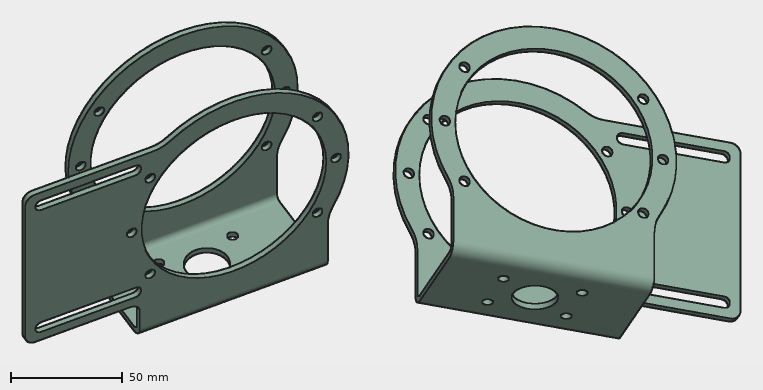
import cadquery as cq
import math

sheet = 3.0
width = 52.0
overall_length = 164.6
base_length = 95.8
bend_inner_radius = 3.0
bend_outer_radius = bend_inner_radius + sheet

ring_radius = 58.5
bore_diameter = 94.0
ring_height = 67.8
neck_radius = 19.8
screw_diameter = 5.0
screw_circle_radius = 52.0
screw_angles = (-35, 0, 35, 145, 180, 215)

plate_reach = overall_length - ring_radius
plate_height = 92.0
plate_corner_radius = 5.0
plate_ring_blend_radius = 15.0
slot_length = 53.8
slot_width = 6.0
slot_end_margin = 5.1
slot_spacing = 76.0

base_bore_diameter = 20.9
base_screw_spacing_x = 21.7
base_screw_spacing_y = 37.5

half_base = base_length / 2
overall_height = ring_height + ring_radius
plate_top = ring_height + plate_height / 2
plate_bottom = ring_height - plate_height / 2


def blend_points(line_offset, blend_radius):
    """Locate an arc tangent to the ring and to a line at line_offset from its centre.

    Each point is (distance across the line, distance along the line) from the ring centre:
    the tangent point on the ring, the arc midpoint and the tangent point on the line.
    """
    across = line_offset + blend_radius
    along = math.sqrt((ring_radius + blend_radius) ** 2 - across**2)
    ring_share = ring_radius / (ring_radius + blend_radius)
    mid_angle = math.pi + math.atan2(along, across) / 2
    on_ring = (across * ring_share, along * ring_share)
    middle = (across + blend_radius * math.cos(mid_angle), along + blend_radius * math.sin(mid_angle))
    on_line = (line_offset, along)
    return on_ring, middle, on_line


def wall_outline():
    """Ring standing on a straight-sided neck, as a YZ profile."""
    on_ring, middle, on_line = [(y, ring_height - drop) for y, drop in blend_points(half_base, neck_radius)]
    return (
        cq.Workplane("YZ")
        .moveTo(-half_base, 0)
        .lineTo(half_base, 0)
        .lineTo(*on_line)
        .threePointArc(middle, on_ring)
        .threePointArc((0, overall_height), (-on_ring[0], on_ring[1]))
        .threePointArc((-middle[0], middle[1]), (-on_line[0], on_line[1]))
        .close()
    )


def plate_outline():
    """Mounting plate with rounded free corners, blended into the ring and the neck."""
    on_ring, middle, on_line = [
        (-along, ring_height + rise) for rise, along in blend_points(plate_height / 2, plate_ring_blend_radius)
    ]
    r = plate_corner_radius
    arc_inset = r * (1 - math.sqrt(0.5))
    return (
        cq.Workplane("YZ")
        .moveTo(0, ring_height)
        .lineTo(*on_ring)
        .threePointArc(middle, on_line)
        .lineTo(r - plate_reach, plate_top)
        .threePointArc((arc_inset - plate_reach, plate_top - arc_inset), (-plate_reach, plate_top - r))
        .lineTo(-plate_reach, plate_bottom + r)
        .threePointArc((arc_inset - plate_reach, plate_bottom + arc_inset), (r - plate_reach, plate_bottom))
        .lineTo(-half_base - r, plate_bottom)
        .threePointArc((-half_base - arc_inset, plate_bottom - arc_inset), (-half_base, plate_bottom - r))
        .lineTo(0, plate_bottom - r)
        .close()
    )


def channel():
    """U-shaped bent sheet, tall enough to contain both walls and centred on X = 0."""
    def block(block_width, floor, radius):
        return (
            cq.Workplane("XY", origin=(0, 0, floor))
            .box(block_width, 2 * plate_reach, overall_height - floor, centered=(True, True, False))
            .edges("|Y and <Z")
            .fillet(radius)
        )

    return block(width, 0, bend_outer_radius).cut(block(width - 2 * sheet, sheet, bend_inner_radius))


def ring_cutters():
    """Ring bore and screw holes, passing through both walls."""
    centre = cq.Workplane("YZ", origin=(-width / 2, 0, ring_height))
    bore = centre.circle(bore_diameter / 2).extrude(width)
    screw_points = [
        (screw_circle_radius * math.cos(math.radians(a)), screw_circle_radius * math.sin(math.radians(a)))
        for a in screw_angles
    ]
    return bore.union(centre.pushPoints(screw_points).circle(screw_diameter / 2).extrude(width))


def slot_cutters():
    slot_y = slot_end_margin + slot_length / 2 - plate_reach
    return (
        cq.Workplane("YZ", origin=(0, slot_y, ring_height))
        .pushPoints([(0, -slot_spacing / 2), (0, slot_spacing / 2)])
        .slot2D(slot_length, slot_width)
        .extrude(width / 2)
    )


def base_cutters():
    bore = cq.Workplane("XY").circle(base_bore_diameter / 2).extrude(sheet)
    screws = (
        cq.Workplane("XY")
        .rarray(base_screw_spacing_x, base_screw_spacing_y, 2, 2)
        .circle(screw_diameter / 2)
        .extrude(sheet)
    )
    return bore.union(screws)


silhouette = wall_outline().extrude(width / 2, both=True)
mounting_plate = plate_outline().extrude(sheet).translate((width / 2 - sheet, 0, 0))
bracket = channel().intersect(silhouette).union(mounting_plate)

result = bracket.cut(ring_cutters()).cut(slot_cutters()).cut(base_cutters())